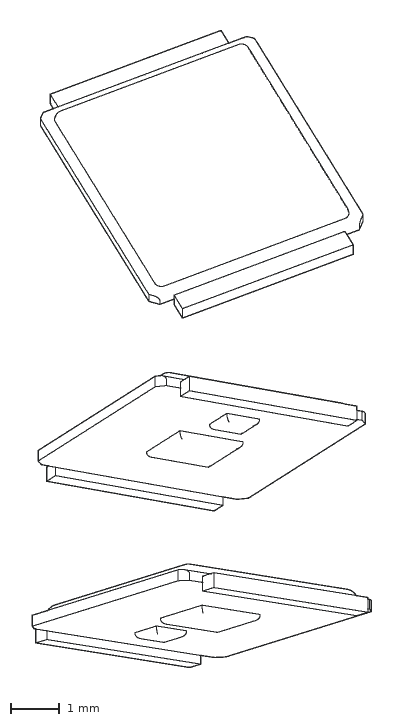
import cadquery as cq

overall_length = 6.3
overall_height = 0.65
lead_height = 0.315
body_bottom = 0.18
body_top = 0.415
pad_bottom = 0.045

body_length = 5.505
body_width = 4.9
body_corner_chamfer = 0.17
body_end_radius = body_top - lead_height

lid_length = 5.04
lid_width = 4.42
lid_edge_radius = 0.22
lid_corner_radius = 0.15

lead_length = (overall_length - body_length) / 2
lead_width = 3.905
lead_center = (overall_length - lead_length) / 2

small_pad = (-1.45, 0.76)
large_pad = (0.3, 1.475)
pad_edge_radius = 0.125


def block(length, width, bottom, top, center_x=0):
    """Rectangular block centred on the X axis, between two levels."""
    return (
        cq.Workplane("XY", origin=(center_x, 0, bottom))
        .rect(length, width)
        .extrude(top - bottom)
    )


def make_body():
    """Plate with chamfered corners and rounded upper end edges."""
    plate = block(body_length, body_width, body_bottom, body_top)
    plate = plate.edges("|Z").chamfer(body_corner_chamfer)
    rounded = block(body_length, body_width, body_bottom, body_top)
    rounded = rounded.faces(">Z").edges("|Y").fillet(body_end_radius)
    return plate.intersect(rounded)


def make_lid():
    """Lid with rounded vertical corners and a larger rounding around its top."""
    lid = block(lid_length, lid_width, body_top, overall_height)
    lid = lid.edges("|Z").fillet(lid_corner_radius)
    return lid.faces(">Z").edges().fillet(lid_edge_radius)


def make_pad(center_x, side):
    """Square contact pad with rounded lower edges."""
    pad = block(side, side, pad_bottom, body_bottom, center_x)
    return pad.faces("<Z").edges().fillet(pad_edge_radius)


result = make_body().union(make_lid())

for end in (-1, 1):
    result = result.union(block(lead_length, lead_width, 0, lead_height, end * lead_center))

for pad_center, pad_side in (small_pad, large_pad):
    result = result.union(make_pad(pad_center, pad_side))